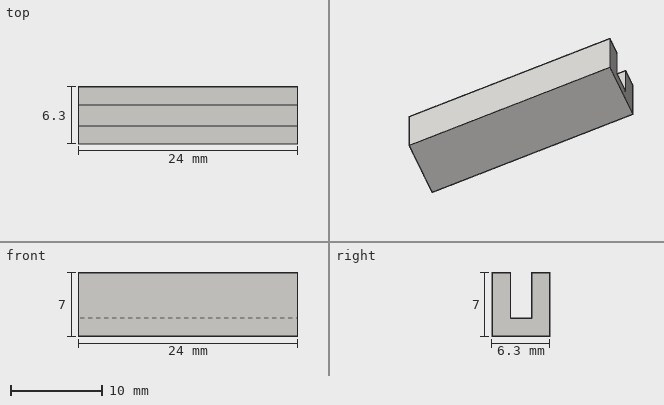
import cadquery as cq

length = 24.0
width = 6.3
height = 7.0

slot_width = 2.3
floor_thickness = 2.0
slot_depth = height - floor_thickness


def make_block():
    """Solid bar, centred on X and Y and resting on Z = 0."""
    return cq.Workplane("XY").box(length, width, height, centered=(True, True, False))


def make_slot():
    """Volume removed between the two side walls, open at the top and both ends."""
    return (
        cq.Workplane("XY")
        .workplane(offset=floor_thickness)
        .box(length, slot_width, slot_depth, centered=(True, True, False))
    )


result = make_block().cut(make_slot())